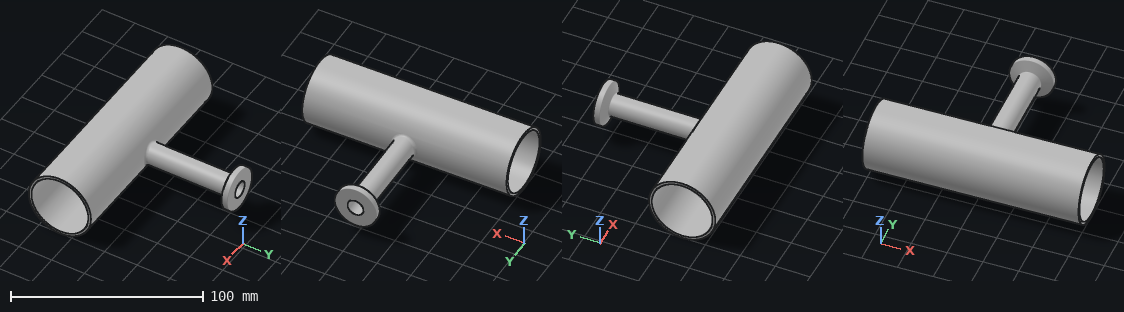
import cadquery as cq

PIPE_LENGTH = 120.6
PIPE_OUTER_DIAMETER = 38.1
PIPE_BORE = 34.7

BRANCH_OUTER_DIAMETER = 12.7
BRANCH_BORE = 9.4
BRANCH_REACH = 73.0
WELD_FILLET = 1.6

FLANGE_DIAMETER = 25.0
FLANGE_THICKNESS = 3.7
FERRULE_HEAD_LENGTH = 6.0
FLANGE_EDGE_ROUND = 0.4
NECK_FILLET = 0.4


def cylinder_along_y(diameter, length):
    """Solid cylinder on the Y axis, from the pipe axis outwards."""
    return cq.Workplane("XZ").circle(diameter / 2).extrude(-length)


def cylinder_along_x(diameter):
    """Solid cylinder as long as the pipe, centred on the origin."""
    return cq.Workplane("YZ").circle(diameter / 2).extrude(PIPE_LENGTH / 2, both=True)


def ferrule_head():
    """Flange with a taper down to the branch tube."""
    flange_radius = FLANGE_DIAMETER / 2
    tube_radius = BRANCH_OUTER_DIAMETER / 2
    rim_start = BRANCH_REACH - FLANGE_THICKNESS
    taper_start = BRANCH_REACH - FERRULE_HEAD_LENGTH
    profile = (
        cq.Workplane("XY")
        .moveTo(0, taper_start)
        .lineTo(tube_radius, taper_start)
        .lineTo(flange_radius, rim_start)
        .lineTo(flange_radius, BRANCH_REACH)
        .lineTo(0, BRANCH_REACH)
        .close()
    )
    return profile.revolve(360, (0, 0, 0), (0, 1, 0))


def edges_between(start, end):
    """Selector for edges around the branch lying wholly between two Y positions."""
    return cq.selectors.BoxSelector(
        (-FLANGE_DIAMETER, start, -FLANGE_DIAMETER),
        (FLANGE_DIAMETER, end, FLANGE_DIAMETER),
        boundingbox=True,
    )


def solid_tee():
    """Pipe, branch and ferrule as one solid with its fillets, before boring."""
    neck_end = BRANCH_REACH - FERRULE_HEAD_LENGTH
    pipe = cylinder_along_x(PIPE_OUTER_DIAMETER)
    branch = cylinder_along_y(BRANCH_OUTER_DIAMETER, neck_end)
    tee = pipe.union(branch).union(ferrule_head())

    weld_edge = edges_between(0, PIPE_OUTER_DIAMETER / 2 + WELD_FILLET)
    neck_edge = edges_between(neck_end - NECK_FILLET, neck_end + NECK_FILLET)
    tee = tee.edges(weld_edge).fillet(WELD_FILLET)
    tee = tee.edges(neck_edge).fillet(NECK_FILLET)

    rim_edges = edges_between(neck_end + FLANGE_EDGE_ROUND, BRANCH_REACH + FLANGE_EDGE_ROUND)
    return tee.edges(rim_edges).edges("%CIRCLE").fillet(FLANGE_EDGE_ROUND)


pipe_bore = cylinder_along_x(PIPE_BORE)
branch_bore = cylinder_along_y(BRANCH_BORE, BRANCH_REACH)
result = solid_tee().cut(pipe_bore).cut(branch_bore)